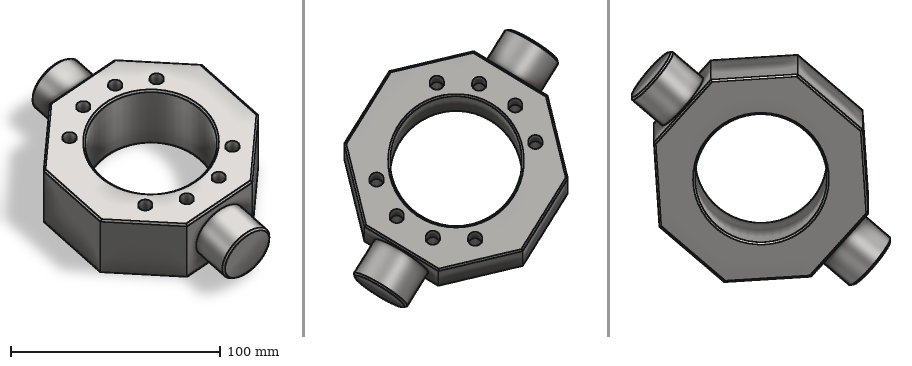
import cadquery as cq
import math

overall_length = 140.0
body_width = 100.0
octagon_sides = 8
body_height = 40.0
body_chamfer = 1.0
bore_diameter = 63.0
bore_chamfer = 1.0
trunnion_diameter = 30.0
trunnion_chamfer = 1.0
hole_diameter = 6.9
hole_circle_diameter = 78.0
hole_depth = 16.8
hole_tip_angle = 118.0
hole_angles = (15, 45)

body_top = body_height / 2


def octagonal_body():
    """Regular octagon, flats square to X and Y, with bevelled top and bottom edges."""
    half_width = body_width / 2
    half_flat = half_width * math.tan(math.pi / octagon_sides)
    corner_cut = half_width - half_flat
    block = cq.Workplane("XY").box(body_width, body_width, body_height)
    return block.edges("|Z").chamfer(corner_cut).faces("<Z or >Z").edges().chamfer(body_chamfer)


def trunnions():
    """One shaft along X; its ends stand out on both sides of the body."""
    end_plane = cq.Workplane("YZ").workplane(offset=-overall_length / 2)
    shaft = end_plane.circle(trunnion_diameter / 2).extrude(overall_length)
    return shaft.faces("<X or >X").edges().chamfer(trunnion_chamfer)


def bore():
    """Vertical through bore."""
    return cq.Workplane("XY").workplane(offset=-body_top).circle(bore_diameter / 2).extrude(body_height)


def drilled_hole(x, y):
    """Blind hole from the top face with a conical drill tip."""
    radius = hole_diameter / 2
    tip_length = radius / math.tan(math.radians(hole_tip_angle / 2))
    profile = (
        cq.Workplane("XZ")
        .lineTo(radius, 0)
        .lineTo(radius, -hole_depth)
        .lineTo(0, -hole_depth - tip_length)
        .close()
    )
    return profile.revolve(360, (0, 0), (0, 1)).translate((x, y, body_top))


result = octagonal_body().union(trunnions()).cut(bore())

result = result.faces("<Z or >Z").edges("%CIRCLE").chamfer(bore_chamfer)

for angle in hole_angles:
    x = hole_circle_diameter / 2 * math.cos(math.radians(angle))
    y = hole_circle_diameter / 2 * math.sin(math.radians(angle))
    for x_side in (-1, 1):
        for y_side in (-1, 1):
            result = result.cut(drilled_hole(x_side * x, y_side * y))